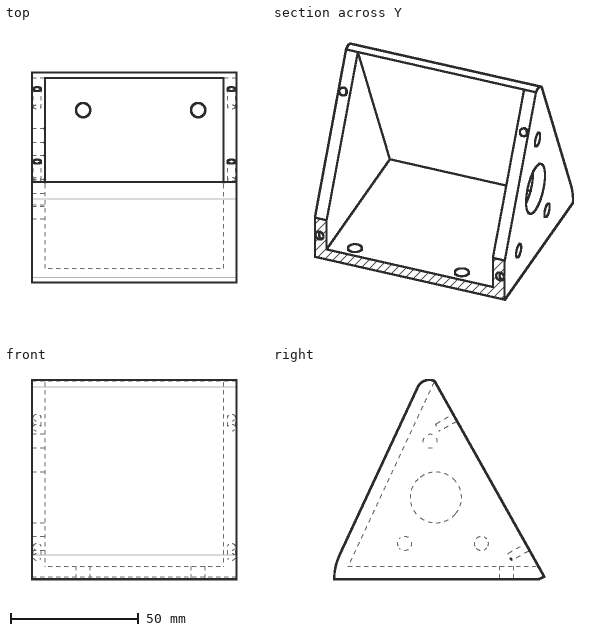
import cadquery as cq
import math

WIDTH = 80.0
DEPTH = 82.29
HEIGHT = 78.03

WALL = 5.0
FRONT_LEAN = math.radians(25.0)
TOE_RADIUS = 22.4
RIDGE_FROM_BACK = 42.95
REAR_BEVEL_LENGTH = 2.2
REAR_BEVEL_HEIGHT = 0.95

CABLE_HOLE_DIAMETER = 20.0
CABLE_HOLE_CENTRE = (39.8, 32.0)
BOLT_DIAMETER = 5.5
LOWER_BOLT_Y = 27.6
LOWER_BOLT_Z = 14.0
LOWER_BOLT_SPACING = 30.0
UPPER_BOLT_OFFSET = 10.0
UPPER_BOLT_RISE = 40.0
SIDE_BOLT_CENTRES = [
    (LOWER_BOLT_Y, LOWER_BOLT_Z),
    (LOWER_BOLT_Y + LOWER_BOLT_SPACING, LOWER_BOLT_Z),
    (LOWER_BOLT_Y + UPPER_BOLT_OFFSET, LOWER_BOLT_Z + UPPER_BOLT_RISE),
]

FLOOR_BOLT_Y = 67.5
FLOOR_BOLT_CENTRES = [(-20.0, FLOOR_BOLT_Y), (25.0, FLOOR_BOLT_Y)]

SCREW_DIAMETER = 3.1
SCREW_DEPTH = 8.0
SCREW_X = 38.0
SCREW_Y_FROM_BACK = [6.55, 34.9]

ridge_centre_z = HEIGHT - WALL
ridge_y = DEPTH - RIDGE_FROM_BACK
ridge_z = ridge_centre_z + WALL * math.cos(FRONT_LEAN)
ridge_centre_y = ridge_y - WALL * math.sin(FRONT_LEAN)
rear_slope = math.atan2(ridge_z - REAR_BEVEL_HEIGHT, RIDGE_FROM_BACK)
floor_end_y = DEPTH - (WALL - REAR_BEVEL_HEIGHT) / math.tan(rear_slope)


def point_on_round(centre, radius, angle):
    """Point on a circle; the angle runs from +Y towards +Z."""
    return (centre[0] + radius * math.cos(angle), centre[1] + radius * math.sin(angle))


def side_profile():
    """Closed outline of the whole wedge, swept along X."""
    toe_centre = (TOE_RADIUS, 0.0)
    ridge_centre = (ridge_centre_y, ridge_centre_z)
    front_normal = math.pi - FRONT_LEAN
    ridge_end_angle = math.pi / 2 - FRONT_LEAN
    return (
        cq.Workplane("YZ", origin=(-WIDTH / 2, 0, 0))
        .moveTo(0, 0)
        .threePointArc(
            point_on_round(toe_centre, TOE_RADIUS, math.pi - FRONT_LEAN / 2),
            point_on_round(toe_centre, TOE_RADIUS, front_normal),
        )
        .lineTo(*point_on_round(ridge_centre, WALL, front_normal))
        .threePointArc(
            point_on_round(ridge_centre, WALL, (front_normal + ridge_end_angle) / 2),
            (ridge_y, ridge_z),
        )
        .lineTo(DEPTH, REAR_BEVEL_HEIGHT)
        .lineTo(DEPTH - REAR_BEVEL_LENGTH, 0)
        .close()
    )


def cavity():
    """Triangular space between the side walls, open through the rear slope."""
    inner_width = WIDTH - 2 * WALL
    inner_front_y = ridge_y - (ridge_z - WALL) * math.tan(FRONT_LEAN)
    return (
        cq.Workplane("YZ", origin=(-inner_width / 2, 0, 0))
        .polyline([(inner_front_y, WALL), (ridge_y, ridge_z), (floor_end_y, WALL)])
        .close()
        .extrude(inner_width)
    )


def side_wall_holes():
    """Bolt holes and cable hole through the -X side wall only."""
    plane = cq.Workplane("YZ", origin=(-WIDTH / 2, 0, 0))
    bolts = plane.pushPoints(SIDE_BOLT_CENTRES).circle(BOLT_DIAMETER / 2).extrude(WALL)
    cable = plane.center(*CABLE_HOLE_CENTRE).circle(CABLE_HOLE_DIAMETER / 2).extrude(WALL)
    return bolts.union(cable)


def floor_holes():
    """Bolt holes straight down through the floor."""
    return (
        cq.Workplane("XY")
        .pushPoints(FLOOR_BOLT_CENTRES)
        .circle(BOLT_DIAMETER / 2)
        .extrude(WALL)
    )


def rim_screw_hole(x, y_from_back):
    """Blind hole drilled square to the rear slope."""
    z = REAR_BEVEL_HEIGHT + y_from_back * math.tan(rear_slope)
    inward = cq.Vector(0, -math.sin(rear_slope), -math.cos(rear_slope))
    mouth = cq.Vector(x, DEPTH - y_from_back, z)
    return cq.Solid.makeCylinder(SCREW_DIAMETER / 2, SCREW_DEPTH, mouth, inward)


result = side_profile().extrude(WIDTH)
result = result.cut(cavity()).cut(side_wall_holes()).cut(floor_holes())
for screw_x in (-SCREW_X, SCREW_X):
    for screw_y in SCREW_Y_FROM_BACK:
        result = result.cut(cq.Workplane(rim_screw_hole(screw_x, screw_y)))